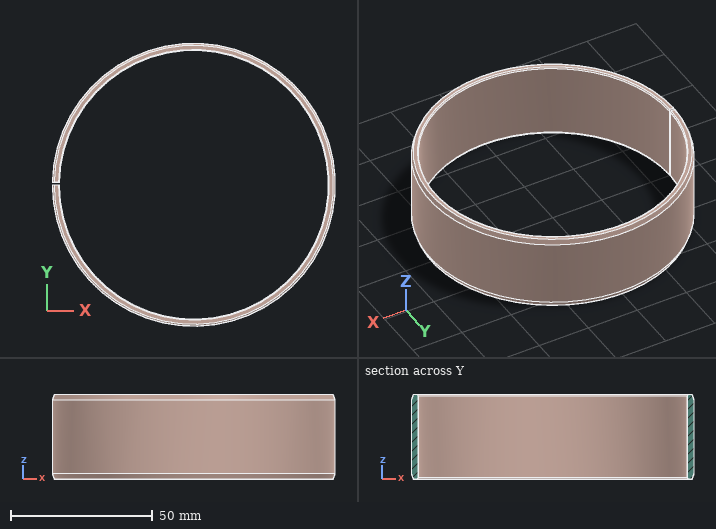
import cadquery as cq

outer_diameter = 100.0
wall = 2.5
height = 30.0
outer_chamfer_height = 2.0
outer_chamfer_depth = 0.7
inner_chamfer_height = 0.6
inner_chamfer_depth = 0.3
gap_angle = 1.0

outer_radius = outer_diameter / 2
inner_radius = outer_radius - wall
half_height = height / 2

section = [
    (-inner_radius, -half_height + inner_chamfer_height),
    (-inner_radius - inner_chamfer_depth, -half_height),
    (-outer_radius + outer_chamfer_depth, -half_height),
    (-outer_radius, -half_height + outer_chamfer_height),
    (-outer_radius, half_height - outer_chamfer_height),
    (-outer_radius + outer_chamfer_depth, half_height),
    (-inner_radius - inner_chamfer_depth, half_height),
    (-inner_radius, half_height - inner_chamfer_height),
]

result = (
    cq.Workplane("XZ")
    .polyline(section)
    .close()
    .revolve(360 - gap_angle, (0, 0), (0, 1))
)